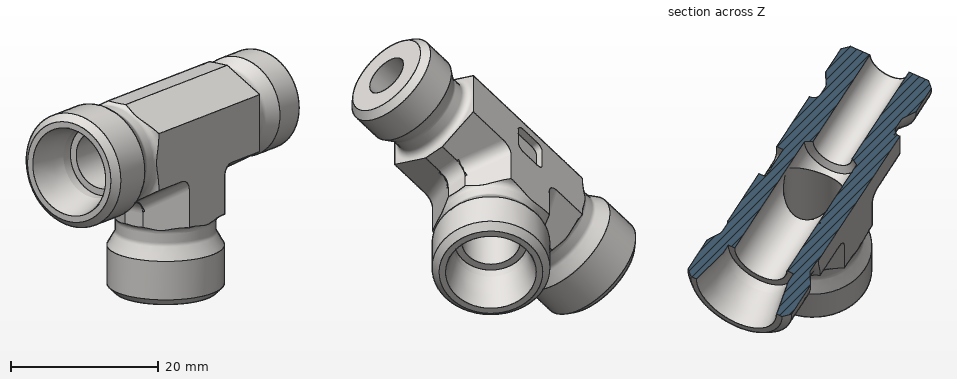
import cadquery as cq
import math

end_reach = 22.0

across_flats = 14.0
body_height = 14.45
corner_fillet = 2.0
body_end_large = 11.0
body_end_small = 12.0

large_diameter = 16.0
small_diameter = 14.0
large_length = 6.42
small_length = 5.35
end_chamfer = 0.95
neck_depth = 1.15
neck_cone_angle = 30.0
neck_fillet = 1.0

mouth_diameter = 12.3
tube_diameter = 10.0
tube_depth = 7.0
seat_angle = 12.0
large_bore = 8.0
large_bore_depth = 5.0
small_bore = 6.0
drill_half_angle = 59.0

recess_side = 5.0
recess_corner = 1.0
recess_depth = 1.0

selection_margin = 0.2

half_flats = across_flats / 2
half_height = body_height / 2
slope = math.tan(math.radians(30))
hexagon_corner = half_flats / math.cos(math.radians(30))
flat_half_width = (hexagon_corner - half_height) / slope
side_half_height = half_flats * slope


def bar(length):
    """Body section extruded from the origin along +Z, with its cut corners towards +Y and -Y."""
    corners = [
        (half_flats, side_half_height),
        (flat_half_width, half_height),
        (-flat_half_width, half_height),
        (-half_flats, side_half_height),
    ]
    opposite = [(-x, -y) for x, y in corners]
    return cq.Workplane("XY").polyline(corners + opposite).close().extrude(length)


def revolve_z(profile):
    """Turn a closed (radius, height) profile about Z."""
    return profile.close().revolve(360, (0, 0, 0), (0, 1, 0))


def relief(neck_radius, body_end):
    """Ring that rounds the body into the neck."""
    outside = hexagon_corner + neck_fillet
    neck_start = body_end + neck_fillet
    half_way = neck_fillet * math.sqrt(0.5)
    profile = (
        cq.Workplane("XZ")
        .moveTo(neck_radius, neck_start)
        .threePointArc((neck_radius + neck_fillet - half_way, neck_start - half_way),
                       (neck_radius + neck_fillet, body_end))
        .lineTo(outside, body_end)
        .lineTo(outside, neck_start)
    )
    return revolve_z(profile)


def spigot(diameter, length):
    """Threaded end with its neck, from the origin up to the port face."""
    radius = diameter / 2
    neck_radius = radius - neck_depth
    cone_angle = math.radians(neck_cone_angle)
    cone_start = end_reach - length
    neck_top = cone_start - neck_depth / math.tan(cone_angle)
    tangent = neck_fillet * math.tan(cone_angle / 2)
    bulge = neck_fillet * (1 - math.cos(cone_angle / 2))
    arc_start = neck_top - tangent
    profile = (
        cq.Workplane("XZ")
        .lineTo(neck_radius, 0)
        .lineTo(neck_radius, arc_start)
        .threePointArc((neck_radius + bulge, arc_start + neck_fillet * math.sin(cone_angle / 2)),
                       (neck_radius + tangent * math.sin(cone_angle),
                        neck_top + tangent * math.cos(cone_angle)))
        .lineTo(radius, cone_start)
        .lineTo(radius, end_reach - end_chamfer)
        .lineTo(radius - end_chamfer, end_reach)
        .lineTo(0, end_reach)
    )
    return revolve_z(profile)


def tube_socket():
    """Cone mouth, tube bore and passage of a large port, down to the origin."""
    mouth = mouth_diameter / 2
    tube = tube_diameter / 2
    passage = large_bore / 2
    cone_depth = (mouth - tube) / math.tan(math.radians(seat_angle))
    profile = (
        cq.Workplane("XZ")
        .lineTo(passage, 0)
        .lineTo(passage, end_reach - tube_depth)
        .lineTo(tube, end_reach - tube_depth)
        .lineTo(tube, end_reach - cone_depth)
        .lineTo(mouth, end_reach)
        .lineTo(0, end_reach)
    )
    return revolve_z(profile)


def small_passage():
    """Passage of the small port, with the drill point of the large bore at its inner end."""
    wide = large_bore / 2
    narrow = small_bore / 2
    point_end = large_bore_depth + (wide - narrow) / math.tan(math.radians(drill_half_angle))
    profile = (
        cq.Workplane("XZ")
        .lineTo(wide, 0)
        .lineTo(wide, large_bore_depth)
        .lineTo(narrow, point_end)
        .lineTo(narrow, end_reach)
        .lineTo(0, end_reach)
    )
    return revolve_z(profile)


def to_front(shape):
    """Turn +Z to -Y."""
    return shape.rotate((0, 0, 0), (1, 0, 0), 90)


def to_back(shape):
    """Turn +Z to +Y."""
    return shape.rotate((0, 0, 0), (1, 0, 0), -90)


def to_bottom(shape):
    """Turn +Z to -Z."""
    return shape.rotate((0, 0, 0), (1, 0, 0), 180)


large_bar = body_end_large + neck_fillet
small_bar = body_end_small + neck_fillet
run_bar = to_front(bar(large_bar)).union(to_back(bar(small_bar)))
body = run_bar.union(to_bottom(bar(large_bar))).clean()
inner = side_half_height - selection_margin
outer = half_height + selection_margin
for side in (-1, 1):
    corner_edges = cq.selectors.BoxSelector(
        (-half_flats, side * inner, -outer),
        (half_flats, side * outer, -inner),
    )
    body = body.edges(corner_edges).fillet(corner_fillet)

ports = [
    (to_front, large_diameter, large_length, body_end_large, tube_socket()),
    (to_bottom, large_diameter, large_length, body_end_large, tube_socket()),
    (to_back, small_diameter, small_length, body_end_small, small_passage()),
]
for turn, diameter, length, body_end, _ in ports:
    body = body.cut(turn(relief(diameter / 2 - neck_depth, body_end)))
    body = body.union(turn(spigot(diameter, length)))

for turn, *_, bore in ports:
    body = body.cut(turn(bore))

recess = (
    cq.Workplane("YZ", origin=(-half_flats, 0, 0))
    .rect(recess_side, recess_side)
    .extrude(recess_depth)
    .edges("|X")
    .fillet(recess_corner)
)
result = body.cut(recess)